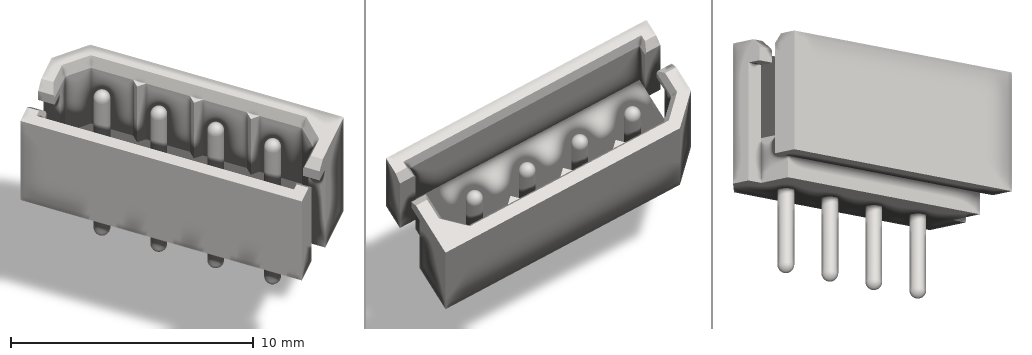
import cadquery as cq
import math

length = 12.4
depth = 4.9
height = 5.9
corner_cut = 1.24

floor_z = 1.88
side_wall = 0.73
rear_wall = 0.77
front_wall = 0.7
side_rim = 0.53
rear_rim = 0.53
front_rim = 0.5
flare_depth = 0.5
flare_z = height - flare_depth

slot_front_y = 1.14
slot_rear_y = 2.74
lip_y = 2.08
lip_bottom_z = 4.96
front_lead_in = 0.35
rear_lead_in = 0.37

front_step_height = 0.9

pin_count = 4
pin_pitch = 2.5
pin_radius = 0.7 / 2
pin_y = 3.06
pin_bottom_z = -3.5
pin_top_z = 5.4
rib_half_width = 0.29
rib_depth = 0.29


def cavity_outline(side, rear, front):
    """Cavity corners with both rear corners bevelled parallel to the outer bevel."""
    bevel = corner_cut + math.sqrt(2) * rear - side - rear
    left = side
    right = length - side
    back = depth - rear
    return [
        (left, front),
        (right, front),
        (right, back - bevel),
        (right - bevel, back),
        (left + bevel, back),
        (left, back - bevel),
    ]


def centred_positions(count):
    """X positions of evenly pitched items centred along the housing."""
    first = length / 2 - (count - 1) * pin_pitch / 2
    return [first + i * pin_pitch for i in range(count)]


def box_between(x0, x1, y0, y1, z0, z1):
    return cq.Workplane("XY").box(x1 - x0, y1 - y0, z1 - z0, centered=False).translate((x0, y0, z0))


def make_shell():
    """Outer block with the bevelled corner and the step below the front wall."""
    outline = [
        (0, 0),
        (length, 0),
        (length, depth),
        (corner_cut, depth),
        (0, depth - corner_cut),
    ]
    block = cq.Workplane("XY").polyline(outline).close().extrude(height)
    return block.cut(box_between(0, length, 0, slot_front_y, 0, front_step_height))


def make_cavity():
    """Straight well topped by a flared mouth."""
    well_outline = cavity_outline(side_wall, rear_wall, front_wall)
    mouth_outline = cavity_outline(side_rim, rear_rim, front_rim)
    well = cq.Workplane("XY").workplane(offset=floor_z).polyline(well_outline).close()
    well = well.extrude(flare_z - floor_z)
    mouth = cq.Workplane("XY").workplane(offset=flare_z).polyline(well_outline).close()
    mouth = mouth.workplane(offset=flare_depth).polyline(mouth_outline).close().loft(ruled=True)
    return well.union(mouth)


def make_end_slot(x_start):
    """Full-height slot through one end wall, narrowed by a lip and widened by the lead-in."""
    profile = [
        (slot_front_y, 0),
        (slot_rear_y, 0),
        (slot_rear_y, lip_bottom_z),
        (lip_y, lip_bottom_z),
        (lip_y, height - rear_lead_in),
        (lip_y + rear_lead_in, height),
        (slot_front_y - front_lead_in, height),
        (slot_front_y, height - front_lead_in),
    ]
    slot = cq.Workplane("YZ").polyline(profile).close().extrude(side_wall)
    return slot.translate((x_start, 0, 0))


def make_rib(x):
    """Triangular rib on the rear cavity wall, ending where the flare begins."""
    wall_y = depth - rear_wall
    outline = [
        (x - rib_half_width, wall_y),
        (x, wall_y - rib_depth),
        (x + rib_half_width, wall_y),
    ]
    rib = cq.Workplane("XY").workplane(offset=floor_z).polyline(outline).close()
    return rib.extrude(flare_z - floor_z)


def make_pin(x):
    """Round pin with a hemispherical tip at each end."""
    pin = cq.Workplane("XY").circle(pin_radius).extrude(pin_top_z - pin_bottom_z - 2 * pin_radius)
    pin = pin.translate((x, pin_y, pin_bottom_z + pin_radius))
    for tip_z in (pin_bottom_z + pin_radius, pin_top_z - pin_radius):
        pin = pin.union(cq.Workplane("XY").sphere(pin_radius).translate((x, pin_y, tip_z)))
    return pin


def make_housing(pins):
    """Complete housing, with a matching hole for every pin."""
    body = make_shell().cut(make_cavity())
    for x_start in (0, length - side_wall):
        body = body.cut(make_end_slot(x_start))
    for x in centred_positions(pin_count - 1):
        body = body.union(make_rib(x))
    for pin in pins:
        body = body.cut(pin)
    return body


pins = [make_pin(x) for x in centred_positions(pin_count)]
housing = make_housing(pins)

result = cq.Compound.makeCompound([housing.val(), *[pin.val() for pin in pins]])